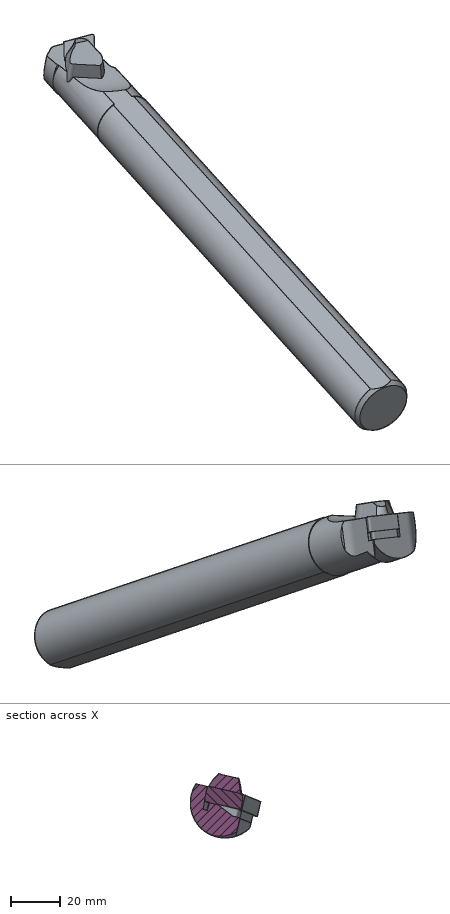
import cadquery as cq
import math


total_length = 250.0
shank_radius = 12.5
shank_start = 49.7
flat_height = 11.5
end_chamfer_length = 2.0
end_chamfer_depth = 1.2
neck_radius = 12.2

head_radius = 14.2
head_offset = head_radius - neck_radius
neck_start = 15.2
cone_angle = 31.0

tip_y = 16.5
tip_z = 0.5
slope_x = 0.105
slope_y = -0.23

insert_side = 15.5
insert_thickness = 6.2
insert_angle = 55.0
lead_angle = 4.0
nose_radius = 0.7

shim_thickness = 3.2
shim_setback = 1.0
front_setback = 1.12
side_setback = 1.5

corner_v = -21.7
bevel_angle = 47.0
corner_radius = 4.5
side_wall_v = -6.5
side_wall_end_u = 22.0
runout_u = 26.2
runout_v = -4.2

flute_u = 5.0
flute_v = -15.5
flute_radius = 26.7
flute_runout_radius = 31.2
flute_height = 20.0

clamp_height = 6.0
clamp_depth = 3.5
ramp_start_u = 4.2
ramp_start_height = 3.0
ramp_end_u = 11.5

clamp_base_points = {
    "nose": [(6.0, -7.7), (4.5, -10.2), (5.2, -13.2)],
    "valley": [(9.7, -19.0), (15.2, -23.0), (20.7, -25.7)],
    "heel": [(23.5, -27.0), (25.0, -26.7), (25.5, -25.7)],
    "back": [(30.5, -15.0), (26.0, -10.7), (18.5, -8.7)],
}
clamp_top_points = {
    "nose": [(7.7, -10.2), (6.5, -11.7), (8.0, -14.0)],
    "valley": [(13.5, -18.2), (17.5, -22.5), (21.0, -25.2)],
    "heel": [(23.2, -26.7), (24.7, -26.5), (25.2, -25.5)],
    "back": [(29.7, -16.0), (25.5, -12.2), (19.0, -11.0)],
}

beyond = 75.0
overrun = 2.5

seat = cq.Plane(
    origin=(0, tip_y, tip_z),
    xDir=(1, 0, slope_x),
    normal=(-slope_x, -slope_y, 1),
)
upright_edges = cq.selectors.ParallelDirSelector(seat.zDir)


def seat_level(w):
    """Workplane parallel to the seat plane, raised by w."""
    return cq.Workplane(seat).workplane(offset=w)


def seat_section(u, v):
    """Plane square to the seat plane at (u, v), with u across and w up."""
    return cq.Plane(origin=seat.toWorldCoords((u, v, 0)), xDir=seat.xDir, normal=-seat.yDir)


front_angle = math.radians(lead_angle - 90)
side_angle = math.radians(lead_angle - 90 + insert_angle)
front_edge = (math.cos(front_angle), math.sin(front_angle))
side_edge = (math.cos(side_angle), math.sin(side_angle))


def along(front, side):
    """Point reached from the sharp tip by the given lengths along the two cutting edges."""
    return (
        sharp_tip_u + front * front_edge[0] + side * side_edge[0],
        sharp_tip_v + front * front_edge[1] + side * side_edge[1],
    )


bisector_angle = (front_angle + side_angle) / 2
nose_distance = nose_radius / math.sin(math.radians(insert_angle / 2))
sharp_tip_u = nose_radius - nose_distance * math.cos(bisector_angle)
sharp_tip_v = -nose_radius - nose_distance * math.sin(bisector_angle)


def setback_length(setback):
    """Length along one edge that moves a line parallel to the other edge inward by setback."""
    return setback / math.sin(math.radians(insert_angle))


def rhombus(inset, bottom, thickness):
    """Rounded rhombus of the insert, drawn in by inset, rising from the level bottom."""
    near = setback_length(inset)
    far = insert_side - near
    corners = [along(near, near), along(far, near), along(far, far), along(near, far)]
    prism = seat_level(bottom).polyline(corners).close().extrude(thickness)
    return prism.edges(upright_edges).fillet(nose_radius)


def shank():
    """Clamping shank with flats along its top and bottom and a chamfered rear end."""
    length = total_length - shank_start
    body = cq.Workplane("YZ").workplane(offset=shank_start).circle(shank_radius).extrude(length)
    body = body.faces(">X").chamfer(end_chamfer_length, end_chamfer_depth)
    flats = cq.Workplane("XY").box(2 * total_length, 4 * shank_radius, 2 * flat_height)
    return body.intersect(flats)


def neck():
    """Slightly slimmer round stretch, flat on top only."""
    length = shank_start - neck_start
    body = cq.Workplane("YZ").workplane(offset=neck_start).circle(neck_radius).extrude(length)
    top_flat = cq.Workplane("XY").workplane(offset=flat_height).rect(2 * beyond, beyond).extrude(beyond)
    return body.cut(top_flat)


def head():
    """Offset round blank that carries the insert."""
    blank = cq.Workplane("YZ").workplane(offset=-overrun).center(head_offset, 0).circle(head_radius)
    blank = blank.extrude(neck_start + overrun)
    cone_length = neck_start + 2 * overrun
    cone_start_radius = neck_radius + cone_length * math.tan(math.radians(cone_angle))
    cone = (
        cq.Workplane("XY").moveTo(neck_start - cone_length, 0)
        .lineTo(neck_start - cone_length, cone_start_radius)
        .lineTo(neck_start, neck_radius)
        .lineTo(neck_start, 0).close()
        .revolve(360, (0, 0), (1, 0))
    )
    return blank.intersect(cone)


def head_outline():
    """Prism square to the seat plane: front face, bevelled -Y corner, relieved +Y side."""
    front_step = setback_length(front_setback)
    side_step = setback_length(side_setback)
    nose = along(side_step, front_step)
    bevel_start = along((corner_v - along(0, front_step)[1]) / front_edge[1], front_step)
    bevel_slope = math.radians(-bevel_angle)
    bevel_end = (
        bevel_start[0] + beyond * math.cos(bevel_slope),
        bevel_start[1] + beyond * math.sin(bevel_slope),
    )
    relief_start = along(side_step, (side_wall_v - along(side_step, 0)[1]) / side_edge[1])
    prism = (
        seat_level(-beyond / 2)
        .moveTo(*relief_start)
        .lineTo(side_wall_end_u, side_wall_v)
        .tangentArcPoint((runout_u, runout_v), relative=False)
        .lineTo(runout_u, beyond)
        .lineTo(beyond, beyond)
        .lineTo(beyond, bevel_end[1])
        .lineTo(*bevel_end)
        .lineTo(*bevel_start)
        .lineTo(*nose)
        .close()
        .extrude(beyond)
    )
    bevel_point = seat.toWorldCoords((*bevel_start, 0)).toTuple()
    bevel_corner = cq.selectors.NearestToPointSelector(bevel_point)
    return prism.edges(upright_edges).edges(bevel_corner).fillet(corner_radius)


def chip_flute():
    """Round cutter that leaves the seat plane and a concave run-out toward the shank."""
    rise = math.acos(1 - flute_height / flute_runout_radius)

    def on_runout(angle):
        return (
            flute_radius + flute_runout_radius * math.sin(angle),
            flute_runout_radius * (1 - math.cos(angle)),
        )

    return (
        cq.Workplane(seat_section(flute_u, flute_v)).lineTo(flute_radius, 0)
        .threePointArc(on_runout(rise / 2), on_runout(rise))
        .lineTo(0, flute_height).close()
        .revolve(360, (0, 0), (0, 1))
    )


def clamp_outline(workplane, points):
    """Closed outline of four arcs joined by straight sides."""
    outline = workplane.moveTo(*points["back"][2])
    for name in ("nose", "valley", "heel", "back"):
        start, middle, end = points[name]
        outline = outline.lineTo(*start).threePointArc(middle, end)
    return outline.wire()


def clamp():
    """Clamp finger, with a root that reaches down past the seat beside the neck."""
    root = clamp_outline(seat_level(-clamp_depth), clamp_base_points).extrude(clamp_depth)
    base = clamp_outline(seat_level(0), clamp_base_points).val()
    top = clamp_outline(seat_level(clamp_height), clamp_top_points).val()
    return root.union(cq.Workplane(cq.Solid.makeLoft([base, top], True)))


def clamp_ramp():
    """Wedge that slopes the top of the clamp down to its nose."""
    ramp_top = 2 * clamp_height
    profile = [
        (0, ramp_start_height),
        (ramp_start_u, ramp_start_height),
        (ramp_end_u, clamp_height),
        (ramp_end_u, ramp_top),
        (0, ramp_top),
    ]
    return cq.Workplane(seat_section(0, 0)).polyline(profile).close().extrude(beyond, both=True)


def make_insert():
    """Diamond cutting insert, its top face in the seat plane."""
    return rhombus(0, -insert_thickness, insert_thickness)


def make_holder(insert):
    """Bar with the insert pocket, the shim in its floor and the clamp above."""
    pocket_depth = insert_thickness + shim_thickness
    pocket = rhombus(0, -pocket_depth, pocket_depth)
    shim = rhombus(shim_setback, -pocket_depth, shim_thickness)
    front = head().union(neck()).intersect(head_outline()).union(shank()).cut(chip_flute())
    front = front.cut(pocket).union(shim)
    return front.union(clamp().cut(clamp_ramp())).cut(insert)


insert = make_insert()
holder = make_holder(insert)

result = cq.Compound.makeCompound([holder.val(), insert.val()])